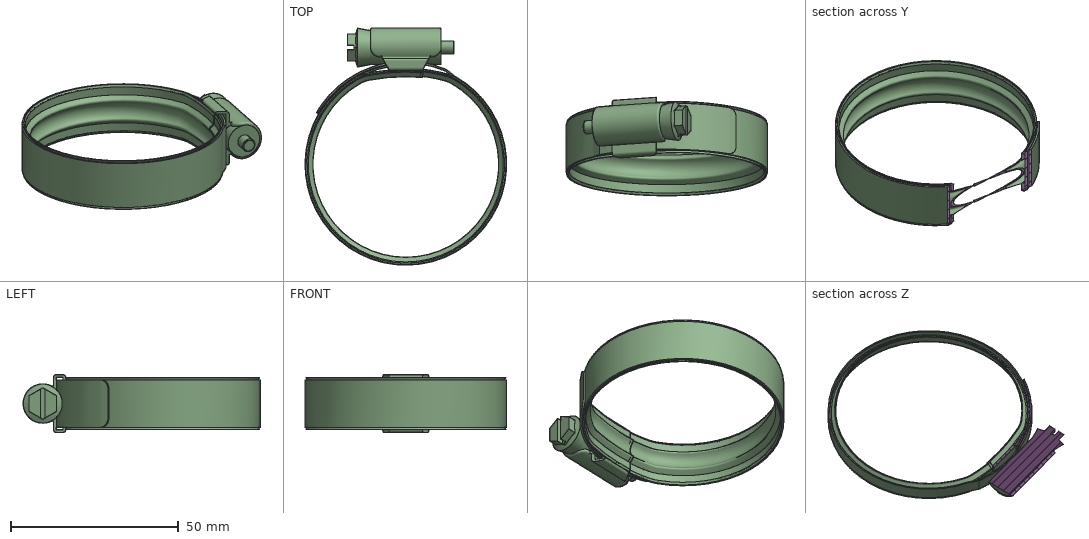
import cadquery as cq
import math


BAND_RADIUS = 30.1
BAND_THICKNESS = 0.6
BAND_WIDTH = 14.15
TAIL_GAP = 0.15
INNER_END_ANGLE = 100
RAMP_START_ANGLE = 61
RAMP_END_ANGLE = 67
TAIL_END_ANGLE = 150
TAIL_CORNER_RADIUS = 2.7

LINER_THICKNESS = 0.4
LINER_WIDTH = 15.6
LINER_RADIUS = BAND_RADIUS - BAND_THICKNESS - LINER_THICKNESS
LIP_FLARE = 0.35
BEAD_HEIGHT = 1.4
BEAD_FOOT_Z = 4.5
BEAD_OUTER_Z = 3.55
BEAD_INNER_Z = 2.6
CREST_ROUND = 0.2
CORNER_RADIUS = 11.3
CORNER_HALF_SPAN = 30
LEFT_FLAT_SPAN = 10.5
RIGHT_FLAT_SPAN = 15
SEAM_X = 5.1
SEAM_LAP = 0.7

SCREW_RADIUS = 5.1
SHANK_HALF_LENGTH = 10.55
SCREW_Y = 34.8
TIP_RADIUS = 2.0
TIP_END_X = 14.45
TIP_CHAMFER = 0.3
HEAD_RADIUS = 5.8
HEAD_RIM_X = -14.4
HEAD_FACE_X = -15.0
HEAD_FACE_RADIUS = 4.05
HEX_END_X = -17.4
HEX_FLATS = 8.15
SLOT_WIDTH = 1.3
SLOT_DEPTH = 1.9

BARREL_RADIUS = 5.9
BARREL_EDGE_RADIUS = 0.6
LOOP_WIDTH = 17.3
LOOP_WALL = 0.85
LOOP_TOP_Y = BAND_RADIUS + TAIL_GAP + BAND_THICKNESS + LOOP_WALL
LOOP_BOTTOM_Y = 28.0
LOOP_BEND_RADIUS = LOOP_WALL
LOOP_ROOT_RADIUS = 0.35
SKIRT_RADIUS = 2.75
LOOP_TOP_HALF_LENGTH = 7.15
LOOP_BOTTOM_HALF_LENGTH = 4.95


def polar(radius, angle):
    return (radius * math.cos(math.radians(angle)), radius * math.sin(math.radians(angle)))


def make_band():
    turn_outer = BAND_RADIUS
    turn_inner = turn_outer - BAND_THICKNESS
    tail_inner = turn_outer + TAIL_GAP
    tail_outer = tail_inner + BAND_THICKNESS
    turn_middle = (INNER_END_ANGLE + RAMP_START_ANGLE + 360) / 2
    tail_middle = (RAMP_END_ANGLE + TAIL_END_ANGLE) / 2
    strip = (
        cq.Workplane("XY", origin=(0, 0, -BAND_WIDTH / 2))
        .moveTo(*polar(turn_inner, INNER_END_ANGLE))
        .threePointArc(polar(turn_inner, turn_middle), polar(turn_inner, RAMP_START_ANGLE))
        .lineTo(*polar(tail_inner, RAMP_END_ANGLE))
        .threePointArc(polar(tail_inner, tail_middle), polar(tail_inner, TAIL_END_ANGLE))
        .lineTo(*polar(tail_outer, TAIL_END_ANGLE))
        .threePointArc(polar(tail_outer, tail_middle), polar(tail_outer, RAMP_END_ANGLE))
        .lineTo(*polar(turn_outer, RAMP_START_ANGLE))
        .threePointArc(polar(turn_outer, turn_middle), polar(turn_outer, INNER_END_ANGLE))
        .close()
        .extrude(BAND_WIDTH)
    )
    tail_tip = polar((tail_inner + tail_outer) / 2, TAIL_END_ANGLE)
    for z in (-BAND_WIDTH / 2, BAND_WIDTH / 2):
        corner = cq.selectors.NearestToPointSelector((*tail_tip, z))
        strip = strip.edges(corner).fillet(TAIL_CORNER_RADIUS)
    return strip.cut(make_bore())


def liner_piece(center, radius, start_angle, end_angle):
    """Liner section revolved about a vertical axis; radius is that of the inner wall."""
    edge_z = LINER_WIDTH / 2
    wall_z = BAND_WIDTH / 2
    outer = radius + LINER_THICKNESS
    crest = -BEAD_HEIGHT
    shoulder = crest + CREST_ROUND
    crest_z = (BEAD_OUTER_Z + BEAD_INNER_Z) / 2
    section = (
        cq.Workplane("XZ")
        .moveTo(radius + LIP_FLARE, edge_z)
        .lineTo(radius, wall_z)
        .lineTo(radius, BEAD_FOOT_Z)
        .lineTo(radius + shoulder, BEAD_OUTER_Z)
        .threePointArc((radius + crest, crest_z), (radius + shoulder, BEAD_INNER_Z))
        .threePointArc((radius, 0), (radius + shoulder, -BEAD_INNER_Z))
        .threePointArc((radius + crest, -crest_z), (radius + shoulder, -BEAD_OUTER_Z))
        .lineTo(radius, -BEAD_FOOT_Z)
        .lineTo(radius, -wall_z)
        .lineTo(radius + LIP_FLARE, -edge_z)
        .lineTo(outer + LIP_FLARE, -edge_z)
        .lineTo(outer, -wall_z)
        .lineTo(outer, -BEAD_FOOT_Z)
        .lineTo(outer + shoulder, -BEAD_OUTER_Z)
        .threePointArc((outer + crest, -crest_z), (outer + shoulder, -BEAD_INNER_Z))
        .threePointArc((outer, 0), (outer + shoulder, BEAD_INNER_Z))
        .threePointArc((outer + crest, crest_z), (outer + shoulder, BEAD_OUTER_Z))
        .lineTo(outer, BEAD_FOOT_Z)
        .lineTo(outer, wall_z)
        .lineTo(outer + LIP_FLARE, edge_z)
        .close()
    )
    piece = section.revolve(end_angle - start_angle, (0, 0), (0, 1))
    return piece.rotate((0, 0, 0), (0, 0, 1), start_angle).translate((*center, 0))


def make_liner(housing):
    corner_start = 90 - CORNER_HALF_SPAN
    corner_x, corner_y = polar(LINER_RADIUS - CORNER_RADIUS, corner_start)

    def flat_arc(half_span):
        """Center and radius of an arc that runs on from a corner without a kink."""
        offset = corner_x / math.sin(math.radians(half_span))
        center_y = corner_y - offset * math.cos(math.radians(half_span))
        return (0, center_y), offset + CORNER_RADIUS

    def angle_at(x, radius):
        return math.degrees(math.acos(x / radius))

    ring = liner_piece((0, 0), LINER_RADIUS, 180 - corner_start, 360 + corner_start)

    left_center, left_radius = flat_arc(LEFT_FLAT_SPAN)
    left_end = 90 + LEFT_FLAT_SPAN
    left_corner = liner_piece((-corner_x, corner_y), CORNER_RADIUS, left_end, 180 - corner_start)
    left_flat = liner_piece(left_center, left_radius, angle_at(SEAM_X, left_radius), left_end)

    right_center, right_radius = flat_arc(RIGHT_FLAT_SPAN)
    right_end = 90 - RIGHT_FLAT_SPAN
    right_corner = liner_piece((corner_x, corner_y), CORNER_RADIUS, corner_start, right_end)
    right_flat = liner_piece(
        right_center, right_radius, right_end, angle_at(SEAM_X - SEAM_LAP, right_radius)
    )

    liner = ring.union(left_corner).union(left_flat).union(right_corner).union(right_flat)
    return liner.cut(housing)


def make_bore():
    """The space taken by the screw shank."""
    return (
        cq.Workplane("YZ", origin=(-SHANK_HALF_LENGTH, SCREW_Y, 0))
        .circle(SCREW_RADIUS)
        .extrude(2 * SHANK_HALF_LENGTH)
    )


def make_screw():
    profile = [
        (HEAD_FACE_X, 0),
        (HEAD_FACE_X, HEAD_FACE_RADIUS),
        (HEAD_RIM_X, HEAD_RADIUS),
        (-SHANK_HALF_LENGTH, SCREW_RADIUS),
        (SHANK_HALF_LENGTH, SCREW_RADIUS),
        (SHANK_HALF_LENGTH, TIP_RADIUS),
        (TIP_END_X - TIP_CHAMFER, TIP_RADIUS),
        (TIP_END_X, TIP_RADIUS - TIP_CHAMFER),
        (TIP_END_X, 0),
    ]
    turned = cq.Workplane("XY").polyline(profile).close().revolve(360, (0, 0), (1, 0))
    hex_corners = HEX_FLATS / math.cos(math.pi / 6)
    hexagon = (
        cq.Workplane("YZ", origin=(HEX_END_X, 0, 0))
        .transformed(rotate=(0, 0, 90))
        .polygon(6, hex_corners)
        .extrude(HEAD_RIM_X - HEX_END_X)
    )
    slot = cq.Workplane("XY").box(SLOT_DEPTH, SLOT_WIDTH, 2 * HEX_FLATS, centered=(False, True, True))
    screw = turned.union(hexagon).cut(slot.translate((HEX_END_X, 0, 0)))
    return screw.translate((0, SCREW_Y, 0))


def loop_block(width, bottom_y, top_y):
    return (
        cq.Workplane("XY")
        .box(2 * SHANK_HALF_LENGTH, top_y - bottom_y, width, centered=(True, False, True))
        .translate((0, bottom_y, 0))
    )


def housing_outline():
    """Side outline in XY: barrel length at the top, rounded skirt, tapered loop."""
    skirt_y = SCREW_Y - SKIRT_RADIUS
    skirt_x = SHANK_HALF_LENGTH - SKIRT_RADIUS
    sweep = SKIRT_RADIUS * math.sqrt(0.5)
    return (
        cq.Workplane("XY", origin=(0, 0, -LOOP_WIDTH / 2))
        .moveTo(0, SCREW_Y + BARREL_RADIUS)
        .lineTo(SHANK_HALF_LENGTH, SCREW_Y + BARREL_RADIUS)
        .lineTo(SHANK_HALF_LENGTH, SCREW_Y)
        .threePointArc((skirt_x + sweep, SCREW_Y - sweep), (skirt_x, skirt_y))
        .lineTo(LOOP_TOP_HALF_LENGTH, skirt_y)
        .lineTo(LOOP_BOTTOM_HALF_LENGTH, LOOP_BOTTOM_Y)
        .lineTo(0, LOOP_BOTTOM_Y)
        .mirrorY()
        .extrude(LOOP_WIDTH)
    )


def make_housing():
    barrel = (
        cq.Workplane("YZ", origin=(-SHANK_HALF_LENGTH, SCREW_Y, 0))
        .circle(BARREL_RADIUS)
        .extrude(2 * SHANK_HALF_LENGTH)
    )
    loop = loop_block(LOOP_WIDTH, LOOP_BOTTOM_Y, LOOP_TOP_Y).edges("|X").fillet(LOOP_BEND_RADIUS)
    root_z = math.sqrt(BARREL_RADIUS**2 - (SCREW_Y - LOOP_TOP_Y) ** 2)
    shell = barrel.union(loop).intersect(housing_outline())
    for x in (-SHANK_HALF_LENGTH, SHANK_HALF_LENGTH):
        end = cq.selectors.NearestToPointSelector((x, SCREW_Y + BARREL_RADIUS, 0))
        shell = shell.edges(end).fillet(BARREL_EDGE_RADIUS)
    for z in (-root_z, root_z):
        root = cq.selectors.NearestToPointSelector((0, LOOP_TOP_Y, z))
        shell = shell.edges(root).fillet(LOOP_ROOT_RADIUS)
    window = loop_block(LOOP_WIDTH - 2 * LOOP_WALL, LOOP_BOTTOM_Y + LOOP_WALL, LOOP_TOP_Y - LOOP_WALL)
    return shell.cut(window).cut(make_bore())


band = make_band()
screw = make_screw()
housing = make_housing()
liner = make_liner(housing)

result = cq.Compound.makeCompound([body.solids().val() for body in (band, liner, screw, housing)])